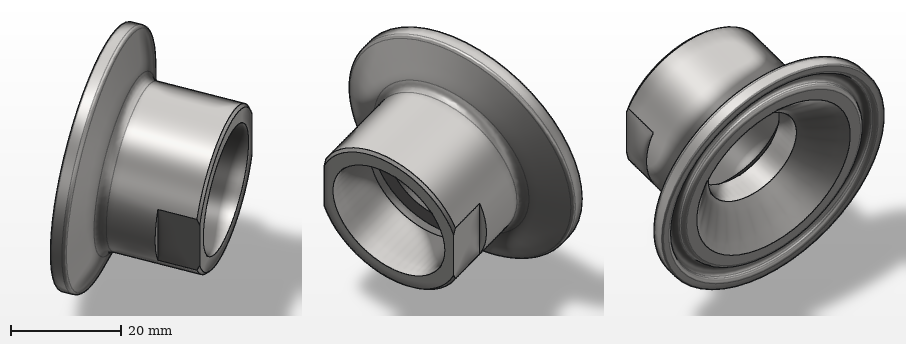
import cadquery as cq
import math

length = 25.0
flange_radius = 25.25
neck_radius = 16.0

rim_width = 2.85
back_angle = math.radians(20)
rim_front_fillet = 0.25
rim_back_fillet = 0.75
neck_fillet = 2.0
end_chamfer = 0.55

mouth_radius = 17.4
mouth_depth = 6.35
bore_radius = 10.0
bore_end = 11.5
relief_width = 2.15
relief_radius = 13.35
socket_radius = 12.5

groove_radius = 21.75
groove_half_width = 2.0
groove_lip_radius = 0.8
groove_wall_depth = 0.4
groove_draft = math.radians(15)

flat_distance = 29.0
flat_length = 8.05

TURN_START = (0, 0, 0)
TURN_END = (1, 0, 0)
SELECT_MARGIN = 0.05


def turn(profile):
    """Revolve a closed (x, radius) profile about the X axis."""
    return profile.close().revolve(360, TURN_START, TURN_END)


def circle_at(x, radius):
    """Select the circular edge at x, along with any smaller ones there."""
    reach = radius + SELECT_MARGIN
    return cq.selectors.BoxSelector(
        (x - SELECT_MARGIN, -reach, -reach),
        (x + SELECT_MARGIN, reach, reach),
        boundingbox=True,
    )


def make_body():
    back_end = rim_width + (flange_radius - neck_radius) * math.tan(back_angle)
    body = turn(
        cq.Workplane("XY")
        .lineTo(0, flange_radius)
        .lineTo(rim_width, flange_radius)
        .lineTo(back_end, neck_radius)
        .lineTo(length, neck_radius)
        .lineTo(length, 0)
    )

    body = body.edges(circle_at(back_end, neck_radius)).fillet(neck_fillet)
    body = body.edges(circle_at(rim_width, flange_radius)).fillet(rim_back_fillet)
    body = body.edges(circle_at(0, flange_radius)).fillet(rim_front_fillet)
    return body.edges(circle_at(length, neck_radius)).chamfer(end_chamfer)


def make_passage():
    relief_end = bore_end + relief_width
    return turn(
        cq.Workplane("XY")
        .lineTo(0, mouth_radius)
        .lineTo(mouth_depth, bore_radius)
        .lineTo(bore_end, bore_radius)
        .lineTo(bore_end, relief_radius)
        .lineTo(relief_end, relief_radius)
        .lineTo(relief_end, socket_radius)
        .lineTo(length, socket_radius)
        .lineTo(length, 0)
    )


def make_groove():
    lip_end = groove_lip_radius * (1 - math.sin(groove_draft))
    lip_end_offset = groove_half_width - groove_lip_radius * math.cos(groove_draft)
    wall_end = lip_end + groove_wall_depth
    wall_end_offset = lip_end_offset - groove_wall_depth * math.tan(groove_draft)

    floor_radius = wall_end_offset / math.cos(groove_draft)
    floor_depth = wall_end + floor_radius * (1 - math.sin(groove_draft))

    half_turn = (math.pi / 2 - groove_draft) / 2
    lip_middle = groove_lip_radius * (1 - math.cos(half_turn))
    lip_middle_offset = groove_half_width - groove_lip_radius * math.sin(half_turn)

    return turn(
        cq.Workplane("XY")
        .moveTo(0, groove_radius - groove_half_width)
        .threePointArc(
            (lip_middle, groove_radius - lip_middle_offset),
            (lip_end, groove_radius - lip_end_offset),
        )
        .lineTo(wall_end, groove_radius - wall_end_offset)
        .threePointArc(
            (floor_depth, groove_radius),
            (wall_end, groove_radius + wall_end_offset),
        )
        .lineTo(lip_end, groove_radius + lip_end_offset)
        .threePointArc(
            (lip_middle, groove_radius + lip_middle_offset),
            (0, groove_radius + groove_half_width),
        )
    )


def make_flat_cutters():
    """Blocks beyond the two wrench flats, one on each Y side of the neck end."""
    block_depth = neck_radius
    block_offset = (flat_distance + block_depth) / 2
    return (
        cq.Workplane("XY")
        .pushPoints([(length - flat_length / 2, side * block_offset) for side in (-1, 1)])
        .box(flat_length, block_depth, 2 * neck_radius)
    )


result = make_body().cut(make_passage()).cut(make_groove()).cut(make_flat_cutters())